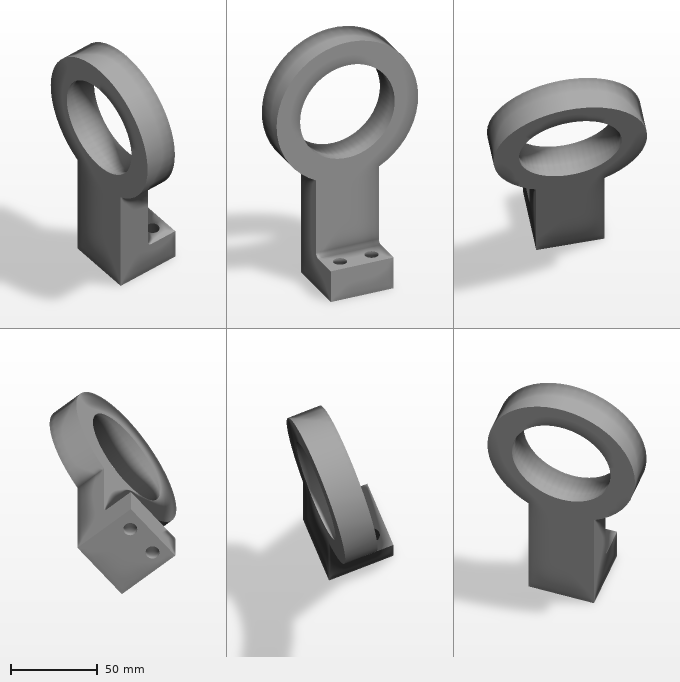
import cadquery as cq

total_height = 154.8
ring_diameter = 90.0
bore_diameter = 60.0
plate_thickness = 20.0
stem_width = 40.0
foot_height = 20.0
base_depth = 40.0
corner_radius = 2.5
hole_diameter = 8.0
hole_spacing = 20.0

ring_center_z = total_height - ring_diameter / 2
flat_start_y = plate_thickness + corner_radius
hole_y = (flat_start_y + base_depth) / 2


def ring_cylinder(diameter):
    """Cylinder along Y at the ring centre, as deep as the plate."""
    return (
        cq.Workplane("XZ", origin=(0, 0, ring_center_z))
        .circle(diameter / 2)
        .extrude(-plate_thickness)
    )


def stem_and_foot():
    """L-shaped side profile with a filleted inner corner, across the stem width."""
    return (
        cq.Workplane("YZ")
        .moveTo(0, 0)
        .lineTo(base_depth, 0)
        .lineTo(base_depth, foot_height)
        .lineTo(flat_start_y, foot_height)
        .radiusArc((plate_thickness, foot_height + corner_radius), corner_radius)
        .lineTo(plate_thickness, ring_center_z)
        .lineTo(0, ring_center_z)
        .close()
        .extrude(stem_width / 2, both=True)
    )


def mounting_holes():
    """Pair of vertical through holes centred on the flat top of the foot."""
    return (
        cq.Workplane("XY")
        .pushPoints([(side * hole_spacing / 2, hole_y) for side in (-1, 1)])
        .circle(hole_diameter / 2)
        .extrude(foot_height)
    )


bracket = stem_and_foot().union(ring_cylinder(ring_diameter))
result = bracket.cut(ring_cylinder(bore_diameter)).cut(mounting_holes())